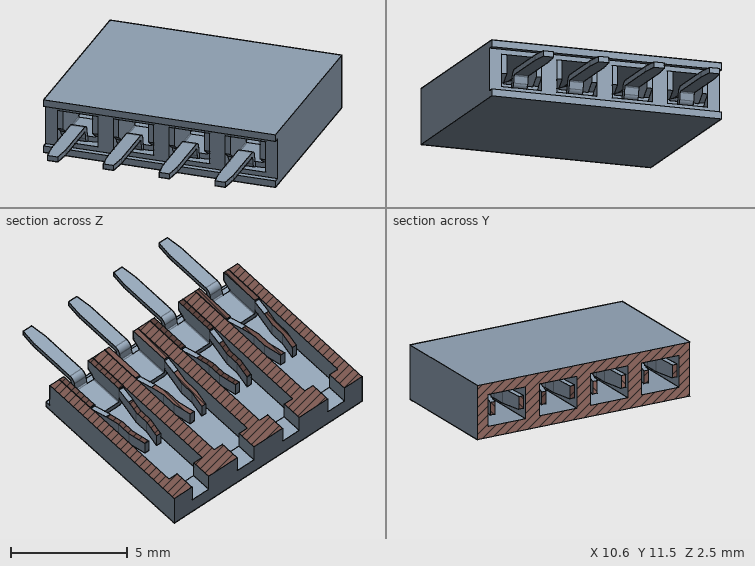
import cadquery as cq
import math

LENGTH = 11.5
WIDTH = 10.56
HEIGHT = 2.5
FRONT_Y = 2.97
RECESS_DEPTH = 0.25
RAIL_HEIGHT = 0.31
RECESS_Y = FRONT_Y + RECESS_DEPTH

CONTACT_COUNT = 4
PITCH = 2.54
CONTACT_XS = [(i - (CONTACT_COUNT - 1) / 2) * PITCH for i in range(CONTACT_COUNT)]

CAVITY_WIDTH = 1.84
CAVITY_HEIGHT = 1.44
REAR_WALL = 1.0
CAVITY_END_Y = LENGTH - REAR_WALL
ENTRY_SIZE = 0.92

SHEET = 0.24
INNER_CORNER_RADIUS = 0.03
OUTER_CORNER_RADIUS = INNER_CORNER_RADIUS + SHEET
FLOOR_Z = -CAVITY_HEIGHT / 2
BASE_TOP_Z = FLOOR_Z + SHEET
INNER_HALF_WIDTH = CAVITY_WIDTH / 2 - SHEET

BASE_FRONT_Y = 3.62
CHANNEL_END_Y = 5.29
WALL_LIP_Z = -0.13
NOTCH_BOTTOM_Z = -0.44

PIN_WIDTH = 0.64
PIN_TIP_WIDTH = 0.47
PIN_TAPER = 0.79
BEND_ANGLE = math.radians(79)
INNER_BEND_RADIUS = 0.06
MEAN_BEND_RADIUS = INNER_BEND_RADIUS + SHEET / 2

ARM_BOTTOM_Z = -0.24
ARM_TOP_Z = ENTRY_SIZE / 2
ARM_ROOT_TOP_Z = 0.31
ARM_SLOPE = 0.2
ARM_MID_HALF_GAP = 0.38
ARM_TIP_HALF_GAP = 0.21
ARM_STRAIGHT = 0.69


def box(x_size, y_start, y_end, z_start, z_end, x_center=0.0):
    """Box centred on x_center that spans the given Y and Z ranges."""
    return (
        cq.Workplane("XY")
        .box(x_size, y_end - y_start, z_end - z_start, centered=(True, False, False))
        .translate((x_center, y_start, z_start))
    )


def make_housing():
    housing = box(WIDTH, FRONT_Y, LENGTH, -HEIGHT / 2, HEIGHT / 2)
    rail_z = HEIGHT / 2 - RAIL_HEIGHT
    housing = housing.cut(box(WIDTH, FRONT_Y, RECESS_Y, -rail_z, rail_z))
    for x in CONTACT_XS:
        housing = housing.cut(box(CAVITY_WIDTH, RECESS_Y, CAVITY_END_Y, FLOOR_Z, -FLOOR_Z, x))
        housing = housing.cut(box(ENTRY_SIZE, RECESS_Y, LENGTH, -ENTRY_SIZE / 2, ENTRY_SIZE / 2, x))
    return housing


def make_channel():
    """U-shaped channel whose side walls overhang the base at the front with a sloping lower edge."""
    outer = box(CAVITY_WIDTH, RECESS_Y, CHANNEL_END_Y, FLOOR_Z, -FLOOR_Z)
    outer = outer.edges("|Y and <Z").fillet(OUTER_CORNER_RADIUS)
    inner = box(2 * INNER_HALF_WIDTH, RECESS_Y, CHANNEL_END_Y, BASE_TOP_Z, -FLOOR_Z)
    channel = outer.cut(inner.edges("|Y and <Z").fillet(INNER_CORNER_RADIUS))
    front_relief = (
        cq.Workplane("YZ")
        .polyline(
            [
                (RECESS_Y, FLOOR_Z),
                (BASE_FRONT_Y, FLOOR_Z),
                (BASE_FRONT_Y, NOTCH_BOTTOM_Z),
                (RECESS_Y, WALL_LIP_Z),
            ]
        )
        .close()
        .extrude(CAVITY_WIDTH / 2, both=True)
    )
    return channel.cut(front_relief)


def make_tail():
    """Pin blade and the S-shaped bend that joins it to the base of the channel."""
    base_z = FLOOR_Z + SHEET / 2
    arc_y = MEAN_BEND_RADIUS * math.sin(BEND_ANGLE)
    arc_z = MEAN_BEND_RADIUS * (1 - math.cos(BEND_ANGLE))
    slope_z = -base_z - 2 * arc_z
    slope_y = slope_z / math.tan(BEND_ANGLE)
    half_y = MEAN_BEND_RADIUS * math.sin(BEND_ANGLE / 2)
    half_z = MEAN_BEND_RADIUS * (1 - math.cos(BEND_ANGLE / 2))
    root_y = BASE_FRONT_Y - 2 * arc_y - slope_y

    path = (
        cq.Workplane("YZ")
        .moveTo(BASE_FRONT_Y, base_z)
        .threePointArc((BASE_FRONT_Y - half_y, base_z + half_z), (BASE_FRONT_Y - arc_y, base_z + arc_z))
        .lineTo(root_y + arc_y, -arc_z)
        .threePointArc((root_y + half_y, -half_z), (root_y, 0))
    )
    bend = cq.Workplane("XZ", origin=(0, BASE_FRONT_Y, base_z)).rect(PIN_WIDTH, SHEET).sweep(path)

    blade = (
        cq.Workplane("XY", origin=(0, 0, -SHEET / 2))
        .polyline(
            [
                (-PIN_TIP_WIDTH / 2, 0),
                (PIN_TIP_WIDTH / 2, 0),
                (PIN_WIDTH / 2, PIN_TAPER),
                (PIN_WIDTH / 2, root_y),
                (-PIN_WIDTH / 2, root_y),
                (-PIN_WIDTH / 2, PIN_TAPER),
            ]
        )
        .close()
        .extrude(SHEET)
    )
    return bend.union(blade)


def make_arm():
    """Spring arm on the +X side, running from the channel wall towards the rear."""
    mid_start_y = CHANNEL_END_Y + (INNER_HALF_WIDTH - ARM_MID_HALF_GAP) / ARM_SLOPE
    mid_end_y = mid_start_y + ARM_STRAIGHT
    tip_y = mid_end_y + (ARM_MID_HALF_GAP - ARM_TIP_HALF_GAP) / ARM_SLOPE
    inner_face = [
        (INNER_HALF_WIDTH, CHANNEL_END_Y),
        (ARM_MID_HALF_GAP, mid_start_y),
        (ARM_MID_HALF_GAP, mid_end_y),
        (ARM_TIP_HALF_GAP, tip_y),
    ]
    outer_face = [(x + SHEET, y) for x, y in reversed(inner_face)]
    arm = (
        cq.Workplane("XY", origin=(0, 0, ARM_BOTTOM_Z))
        .polyline(inner_face + outer_face)
        .close()
        .extrude(ARM_TOP_Z - ARM_BOTTOM_Z)
    )
    root_relief = (
        cq.Workplane("YZ")
        .polyline([(CHANNEL_END_Y, ARM_ROOT_TOP_Z), (CHANNEL_END_Y, ARM_TOP_Z), (mid_start_y, ARM_TOP_Z)])
        .close()
        .extrude(CAVITY_WIDTH / 2)
    )
    return arm.cut(root_relief)


def make_contact():
    arm = make_arm()
    return make_channel().union(make_tail()).union(arm).union(arm.mirror("YZ"))


housing = make_housing()
contact = make_contact()
contacts = [contact.translate((x, 0, 0)).val() for x in CONTACT_XS]

result = cq.Compound.makeCompound([housing.val(), *contacts])